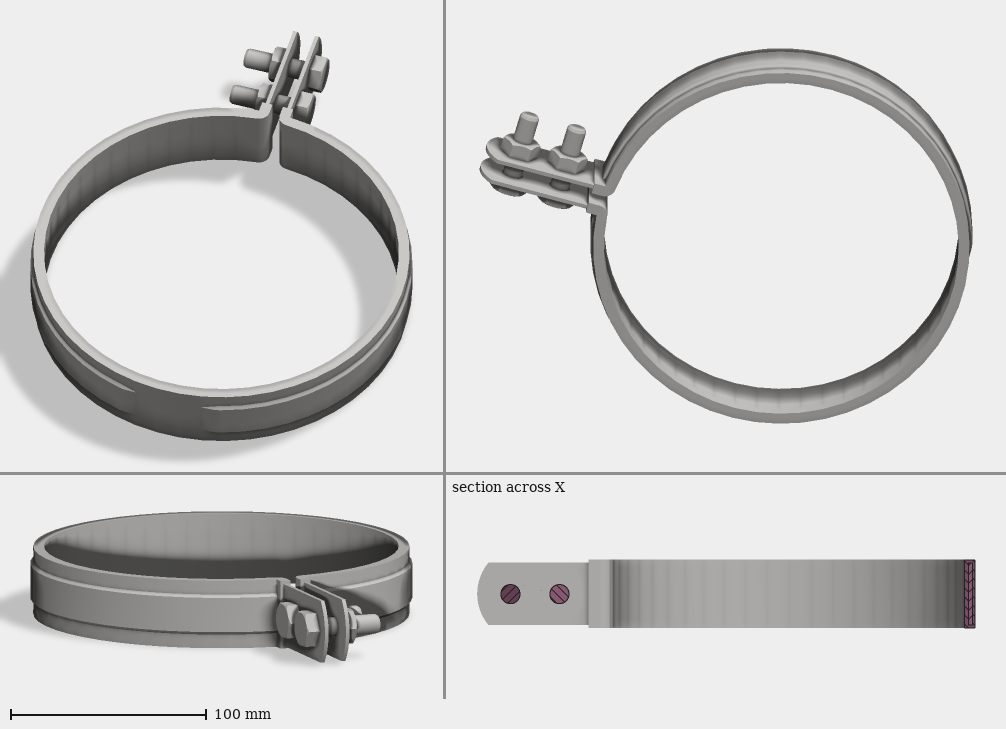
import cadquery as cq
import math

overall_length_y = 254.07
strap_thickness = 2.0
strap_width = 32.0
cover = 1.5
inner_cover = 2.0
ring_outer_radius = 96.0
bead_outer_radius = 97.5
lug_centre_x = 5.75
liner_end_y = 101.3
lug_tip_radius = 25.0

liner_thickness = strap_thickness + cover + inner_cover
liner_width = strap_width + 2 * cover
lug_tip_y = overall_length_y - ring_outer_radius
lug_inner_x = lug_centre_x - strap_thickness / 2
lug_outer_x = lug_centre_x + strap_thickness / 2
strap_outer_radius = ring_outer_radius - cover
strap_bend_radius = cover + strap_thickness
liner_bend_radius = liner_thickness
liner_lug_x = lug_outer_x + cover

bead_base_width = 20.8
bead_flank = bead_outer_radius - ring_outer_radius
ramp_foot_x = 17.2
bead_crest_fillet = 20.0

bolt_spacing = 25.0
bolt_tip_distance = 16.85
bolt_diameter = 10.0
bolt_hole_diameter = 11.0
bolt_end_diameter = 8.38
bolt_end_x = -28.85
hex_across_flats = 17.0
head_height = 6.6
nut_height = 7.5
hex_corner_bevel_angle = 30.0
bolt_end_bevel_angle = 60.0

outer_bolt_y = lug_tip_y - bolt_tip_distance
bolt_positions_y = [outer_bolt_y, outer_bolt_y - bolt_spacing]


def height_on_circle(radius, x):
    """Y of the upper half of a circle about the origin."""
    return math.sqrt(radius ** 2 - x ** 2)


def clamp_band(outer_radius, thickness, inner_x, bend_radius, end_y, width):
    """Open ring whose two ends bend outward into parallel lugs that run to end_y."""
    inner_radius = outer_radius - thickness
    outer_x = inner_x + thickness
    corner_y = height_on_circle(outer_radius, outer_x)
    bend_y = height_on_circle(inner_radius, inner_x)

    band = (
        cq.Workplane("XY")
        .moveTo(outer_x, corner_y)
        .threePointArc((0, -outer_radius), (-outer_x, corner_y))
        .lineTo(-outer_x, end_y)
        .lineTo(-inner_x, end_y)
        .lineTo(-inner_x, bend_y)
        .threePointArc((0, -inner_radius), (inner_x, bend_y))
        .lineTo(inner_x, end_y)
        .lineTo(outer_x, end_y)
        .close()
        .extrude(width / 2, both=True)
    )
    for side in (-1, 1):
        bend_edge = cq.selectors.NearestToPointSelector((side * inner_x, bend_y, 0))
        band = band.edges("|Z").edges(bend_edge).fillet(bend_radius)
    return band


def bead(side):
    """Raised bead on one half of the strap, running from the lug to a flat ramp near the ring bottom."""
    root_radius = strap_outer_radius - strap_thickness / 2
    ramp_y = -height_on_circle(ring_outer_radius, ramp_foot_x)
    ramp_top_x = height_on_circle(bead_outer_radius, ramp_y)
    root_scale = root_radius / ring_outer_radius
    lug_top_y = height_on_circle(bead_outer_radius, liner_lug_x)
    lug_root_y = height_on_circle(root_radius, liner_lug_x)

    body = (
        cq.Workplane("XY")
        .moveTo(liner_lug_x, lug_top_y)
        .threePointArc((bead_outer_radius, 0), (ramp_top_x, ramp_y))
        .lineTo(ramp_foot_x, ramp_y)
        .lineTo(ramp_foot_x * root_scale, ramp_y * root_scale)
        .threePointArc((root_radius, 0), (liner_lug_x, lug_root_y))
        .close()
        .extrude(bead_base_width / 2, both=True)
    )
    crest = cq.selectors.NearestToPointSelector((ramp_top_x, ramp_y, 0))
    body = body.edges("|Z").edges(crest).fillet(bead_crest_fillet)

    flank_start = cq.selectors.NearestToPointSelector((bead_outer_radius, 0, bead_base_width / 2))
    flank_end = cq.selectors.NearestToPointSelector((bead_outer_radius, 0, -bead_base_width / 2))
    body = body.edges(cq.selectors.SumSelector(flank_start, flank_end)).chamfer(bead_flank)
    return body if side > 0 else body.mirror("YZ")


def make_strap():
    """Steel strap: open ring with two rounded, drilled lugs and a raised bead on each half."""
    strap = clamp_band(
        strap_outer_radius, strap_thickness, lug_inner_x, strap_bend_radius, lug_tip_y, strap_width
    )
    tip_shape = (
        cq.Workplane("YZ")
        .center(lug_tip_y - lug_tip_radius, 0)
        .circle(lug_tip_radius)
        .extrude(ring_outer_radius, both=True)
    )
    tip_end = (
        cq.Workplane("XY")
        .box(2 * ring_outer_radius, lug_tip_radius, strap_width, centered=(True, False, True))
        .translate((0, lug_tip_y - lug_tip_radius, 0))
    )
    strap = strap.cut(tip_end.cut(tip_shape))
    for bolt_y in bolt_positions_y:
        hole = cq.Workplane("YZ").center(bolt_y, 0).circle(bolt_hole_diameter / 2)
        strap = strap.cut(hole.extrude(2 * lug_outer_x, both=True))
    for side in (-1, 1):
        strap = strap.union(bead(side))
    return strap


def make_liner(strap):
    """Rubber cover that wraps the strap on every side and stops part-way up the lugs."""
    cover_band = clamp_band(
        ring_outer_radius, liner_thickness, lug_inner_x - inner_cover, liner_bend_radius, liner_end_y, liner_width
    )
    return cover_band.cut(strap)


def hex_block(start_x, height, bolt_y, bevelled_face):
    """Hexagon along X with two flats facing Z, its corners bevelled at one end."""
    corner_diameter = hex_across_flats / math.cos(math.pi / 6)
    hexagon = (
        cq.Workplane("YZ", origin=(start_x, bolt_y, 0)).polygon(6, corner_diameter).extrude(height)
    )
    bevel_radial = corner_diameter / 2 - hex_across_flats / 2
    bevel_axial = bevel_radial * math.tan(math.radians(hex_corner_bevel_angle))
    bevel = (
        cq.Workplane("YZ", origin=(start_x, bolt_y, 0))
        .circle(corner_diameter / 2)
        .extrude(height)
        .faces(bevelled_face)
        .chamfer(bevel_axial, bevel_radial)
    )
    return hexagon.intersect(bevel)


def make_bolt(bolt_y):
    """Bolt through both lugs, with its hexagon head at +X and its nut at -X."""
    end_bevel_radial = (bolt_diameter - bolt_end_diameter) / 2
    end_bevel_axial = end_bevel_radial * math.tan(math.radians(bolt_end_bevel_angle))
    shank = (
        cq.Workplane("YZ", origin=(bolt_end_x, bolt_y, 0))
        .circle(bolt_diameter / 2)
        .extrude(lug_outer_x - bolt_end_x)
        .faces("<X")
        .chamfer(end_bevel_axial, end_bevel_radial)
    )
    head = hex_block(lug_outer_x, head_height, bolt_y, ">X")
    nut = hex_block(-lug_outer_x - nut_height, nut_height, bolt_y, "<X")
    return shank.union(head).union(nut)


strap = make_strap()
liner = make_liner(strap)
bolts = [make_bolt(bolt_y) for bolt_y in bolt_positions_y]

result = cq.Compound.makeCompound([strap.val(), liner.val(), *[bolt.val() for bolt in bolts]])